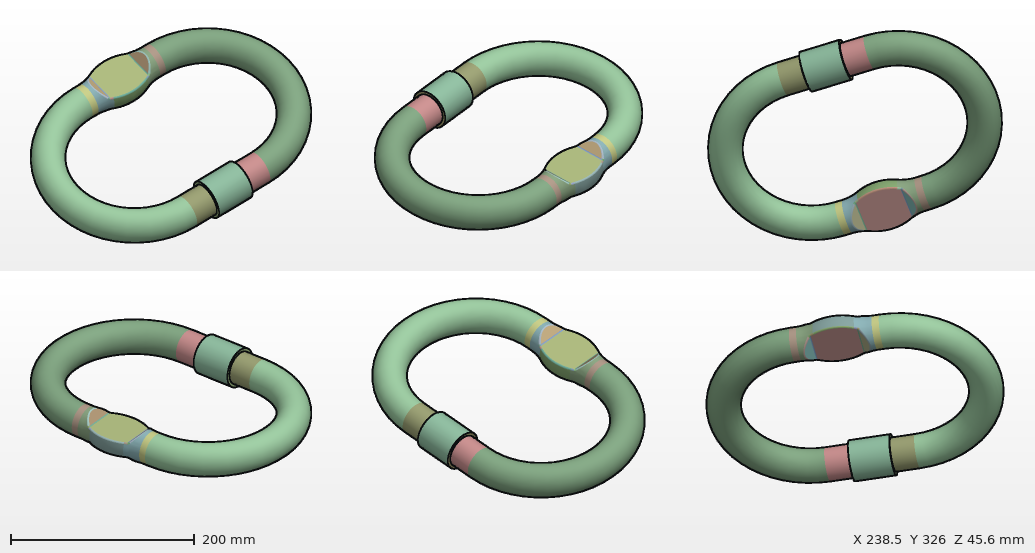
import cadquery as cq
import math

bar_diameter = 38.0
inner_width = 150.0
inner_length = 250.0
bar_radius = bar_diameter / 2
bend_radius = (inner_width + bar_diameter) / 2
straight_half = (inner_length - inner_width) / 2

sleeve_diameter = 45.6
sleeve_length = 46.0

head_radius = 27.7
head_half_length = 42.0
head_crown_radius = 58.0

flat_thickness = bar_diameter / 2
flat_half_length = 26.5
ramp_angle = 45.0
floor_fillet = 2.0
rim_fillet = 2.0


def make_ring():
    """Closed oval of round bar, lying in the XY plane."""
    path = (
        cq.Workplane("XY")
        .moveTo(bend_radius, -straight_half)
        .lineTo(bend_radius, straight_half)
        .threePointArc((0, straight_half + bend_radius), (-bend_radius, straight_half))
        .lineTo(-bend_radius, -straight_half)
        .threePointArc((0, -straight_half - bend_radius), (bend_radius, -straight_half))
        .close()
    )
    section = cq.Workplane("XZ", origin=(bend_radius, -straight_half, 0)).circle(bar_radius)
    return section.sweep(path)


def make_sleeve():
    """Cylinder centred on the +X straight."""
    start = cq.Workplane("XZ", origin=(bend_radius, sleeve_length / 2, 0))
    return start.circle(sleeve_diameter / 2).extrude(sleeve_length)


def make_head_blank():
    """Barrel turned about the -X straight, blending tangentially into the bar at both ends."""
    flank_angle = 2 * math.atan((head_radius - bar_radius) / head_half_length)
    blend_radius = head_half_length / math.sin(flank_angle) - head_crown_radius

    def crown_point(angle):
        return (
            head_radius - head_crown_radius * (1 - math.cos(angle)),
            head_crown_radius * math.sin(angle),
        )

    def blend_point(angle):
        return (
            bar_radius + blend_radius * (1 - math.cos(angle)),
            head_half_length - blend_radius * math.sin(angle),
        )

    flank_x, flank_y = crown_point(flank_angle)
    blend_x, blend_y = blend_point(flank_angle / 2)
    return (
        cq.Workplane("XY", origin=(-bend_radius, 0, 0))
        .moveTo(0, -head_half_length)
        .lineTo(bar_radius, -head_half_length)
        .threePointArc((blend_x, -blend_y), (flank_x, -flank_y))
        .threePointArc((head_radius, 0), (flank_x, flank_y))
        .threePointArc((blend_x, blend_y), (bar_radius, head_half_length))
        .lineTo(0, head_half_length)
        .close()
        .revolve(360, (0, 0, 0), (0, 1, 0))
    )


def make_flat_cutter():
    """Ramp-ended cutter for the top flat, with rounded corners between floor and ramps."""
    floor_z = flat_thickness / 2
    top_z = head_radius
    top_half_length = flat_half_length + (top_z - floor_z) / math.tan(math.radians(ramp_angle))
    return (
        cq.Workplane("YZ", origin=(-bend_radius, 0, 0))
        .moveTo(-flat_half_length, floor_z)
        .lineTo(flat_half_length, floor_z)
        .lineTo(top_half_length, top_z)
        .lineTo(-top_half_length, top_z)
        .close()
        .extrude(head_radius, both=True)
        .faces("<Z")
        .edges("|X")
        .fillet(floor_fillet)
    )


def cut_marking_flats(body):
    """Cut both flats, then round their rims."""
    top_cutter = make_flat_cutter()
    bottom_cutter = top_cutter.mirror("XY")
    return body.cut(top_cutter).cut(bottom_cutter).edges("%BSPLINE").fillet(rim_fillet)


result = cut_marking_flats(make_ring().union(make_head_blank()).union(make_sleeve()))